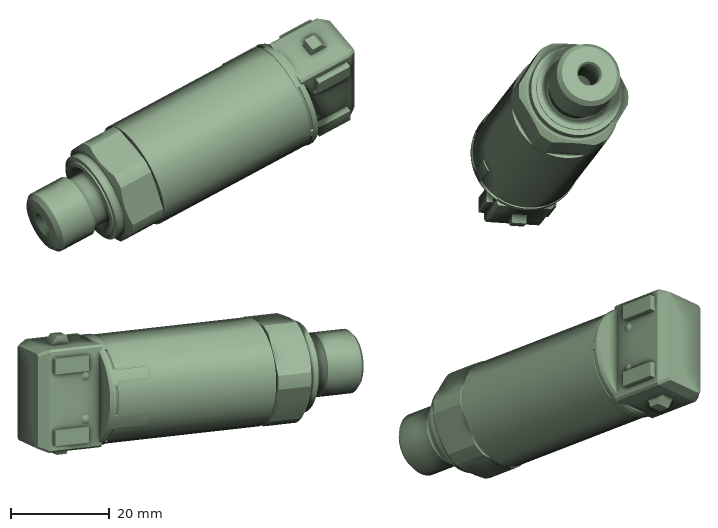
import cadquery as cq
import math


total_length = 73.25
neck_start = 9.8
lip_start = 11.7
flange_start = 12.0
hex_start = 13.85
hex_end = 22.05
body_start = 22.5
ring_start = 58.15
box_start = 59.4
ring_end = 60.1

thread_dia = 13.2
neck_dia = 11.1
recess_dia = 14.4
lip_dia = 16.6
flange_dia = 18.8
groove_dia = 20.0
body_dia = 22.35
ring_dia = 22.8
thread_chamfer = 0.9
recess_floor_dia = 11.9
recess_depth = 1.3
relief_radius = 1.4
ring_chamfer = 0.3

port_mouth_dia = 5.2
port_dia = 4.5
port_mouth_depth = 0.5
port_depth = 8.8

hex_across_flats = 21.0
hex_chamfer_length = 0.8

tongue_end = 51.0
tongue_width = 2.05
tongue_height = 5.05
slot_length = 0.65
slot_floor_dia = 21.9
slot_angles = [(4, 58), (122, 147), (164, 196), (213, 238), (302, 356)]

box_width = 11.8
box_height = 21.45
box_edge_chamfer = 0.45
nose_start = 71.2
nose_width = 9.5
nose_height = 19.7

latch_tip_height = 12.4
latch_width = 3.0
latch_base = (64.7, 68.6)
latch_top = (65.2, 67.4)

pad_start = 62.9
pad_length = 7.6
pad_width = 3.15
pad_height = 7.5
pad_reach = 7.25
dome_y = 63.1
dome_z = 4.55
dome_dia = 1.9
dome_rise = 0.3


def disc(diameter, start, end):
    """Cylinder on the Y axis between two stations."""
    return cq.Workplane("XZ", origin=(0, start, 0)).circle(diameter / 2).extrude(start - end)


def block(width, length, height, x, y_start, z):
    """Block centred in X and Z that starts at y_start."""
    return cq.Workplane("XY").box(width, length, height).translate((x, y_start + length / 2, z))


def turned_body():
    """Threaded stem, sealing flange with a conical recess, groove, housing and ring in one revolve."""
    relief_centre = neck_dia / 2 + relief_radius
    relief_angle = math.acos((relief_centre - thread_dia / 2) / relief_radius)

    def relief_point(angle):
        return (
            relief_centre - relief_radius * math.cos(angle),
            neck_start - relief_radius * math.sin(angle),
        )

    rear_outline = [
        (neck_dia / 2, lip_start + recess_depth),
        (recess_floor_dia / 2, lip_start + recess_depth),
        (recess_dia / 2, lip_start),
        (lip_dia / 2, lip_start),
        (lip_dia / 2, flange_start),
        (flange_dia / 2, flange_start),
        (flange_dia / 2, hex_start),
        (groove_dia / 2, hex_start),
        (groove_dia / 2, body_start),
        (body_dia / 2, body_start),
        (body_dia / 2, ring_start),
        (ring_dia / 2, ring_start),
        (ring_dia / 2, box_start),
        (ring_dia / 2 - ring_chamfer, ring_end),
        (0, ring_end),
    ]
    profile = (
        cq.Workplane("XY")
        .lineTo(thread_dia / 2 - thread_chamfer, 0)
        .lineTo(thread_dia / 2, thread_chamfer)
        .lineTo(*relief_point(relief_angle))
        .threePointArc(relief_point(relief_angle / 2), relief_point(0))
    )
    for point in rear_outline:
        profile = profile.lineTo(*point)
    return profile.close().revolve(360, (0, 0, 0), (0, 1, 0))


def hexagon():
    """Hexagon with flats facing up and down, its corners turned round and its front edge coned."""
    across_corners = hex_across_flats / math.cos(math.pi / 6)
    prism = (
        cq.Workplane("XZ", origin=(0, hex_start, 0))
        .polygon(6, across_corners)
        .extrude(hex_start - hex_end)
    )
    envelope = [
        (0, hex_start),
        (groove_dia / 2, hex_start),
        (ring_dia / 2, hex_start + hex_chamfer_length),
        (ring_dia / 2, hex_end),
        (0, hex_end),
    ]
    turned = cq.Workplane("XY").polyline(envelope).close().revolve(360, (0, 0, 0), (0, 1, 0))
    return prism.intersect(turned)


def port():
    """Blind hole in the thread tip with a countersunk mouth."""
    profile = [
        (0, 0),
        (port_mouth_dia / 2, 0),
        (port_dia / 2, port_mouth_depth),
        (port_dia / 2, port_depth),
        (0, port_depth),
    ]
    return cq.Workplane("XY").polyline(profile).close().revolve(360, (0, 0, 0), (0, 1, 0))


def tongues():
    """Two raised tongues running from the ring along the -X side of the housing."""
    length = ring_start - tongue_end
    sleeve = disc(ring_dia, tongue_end, ring_start).cut(disc(slot_floor_dia, tongue_end, ring_start))
    strips = cq.Workplane("XY")
    for side in (1, -1):
        strip = block(ring_dia / 2, length, tongue_width, -ring_dia / 4, tongue_end, side * tongue_height)
        strips = strips.add(strip)
    return sleeve.intersect(strips.combine())


def ring_slot(first_angle, last_angle):
    """Arc-shaped relief in the thread-side edge of the ring."""
    outer_radius = ring_dia
    span = math.radians(last_angle - first_angle)
    corner_radius = outer_radius / math.cos(span / 2)
    angles = [math.radians(a) for a in (first_angle, (first_angle + last_angle) / 2, last_angle)]
    radii = (outer_radius, corner_radius, outer_radius)
    points = [(0, 0)] + [(r * math.cos(a), r * math.sin(a)) for r, a in zip(radii, angles)]
    wedge = cq.Workplane("XZ", origin=(0, ring_start, 0)).polyline(points).close().extrude(-slot_length)
    return wedge.cut(disc(slot_floor_dia, ring_start, ring_start + slot_length))


def connector_box():
    """Box with bevelled long edges and a tapered nose."""
    length = total_length - box_start
    box = block(box_width, length, box_height, 0, box_start, 0)
    half_x, half_z = box_width / 2, box_height / 2
    plan = [
        (-half_x, box_start),
        (half_x, box_start),
        (half_x, nose_start),
        (nose_width / 2, total_length),
        (-nose_width / 2, total_length),
        (-half_x, nose_start),
    ]
    side = [
        (box_start, -half_z),
        (nose_start, -half_z),
        (total_length, -nose_height / 2),
        (total_length, nose_height / 2),
        (nose_start, half_z),
        (box_start, half_z),
    ]
    box = box.intersect(cq.Workplane("XY").polyline(plan).close().extrude(half_z, both=True))
    box = box.intersect(cq.Workplane("YZ").polyline(side).close().extrude(half_x, both=True))
    return box.edges("not #Y").chamfer(box_edge_chamfer)


def latches():
    """Ramped latch on the top face and its mirror on the bottom face."""
    base_z = box_height / 2
    outline = [
        (latch_base[0], 0),
        (latch_base[0], base_z),
        (latch_top[0], latch_tip_height),
        (latch_top[1], latch_tip_height),
        (latch_base[1], base_z),
        (latch_base[1], 0),
    ]
    latch = cq.Workplane("YZ").polyline(outline).close().extrude(latch_width / 2, both=True)
    return latch.union(latch.mirror("XY"))


def pads():
    """Upper and lower pads reaching through the box to both sides."""
    upper = block(2 * pad_reach, pad_length, pad_width, 0, pad_start, pad_height)
    return upper.union(upper.mirror("XY"))


def domes():
    """Shallow round bumps on both sides of the box."""
    inner_x = box_width / 2 - dome_rise
    outer_x = box_width / 2 + dome_rise
    rim_radius = dome_dia / 2
    sphere_radius = (rim_radius ** 2 + dome_rise ** 2) / (2 * dome_rise)
    mid_rise = sphere_radius - math.sqrt(sphere_radius ** 2 - (rim_radius / 2) ** 2)
    dome = (
        cq.Workplane("XY")
        .moveTo(inner_x, 0)
        .lineTo(outer_x, 0)
        .threePointArc((outer_x - mid_rise, rim_radius / 2), (box_width / 2, rim_radius))
        .lineTo(inner_x, rim_radius)
        .close()
        .revolve(360, (0, 0, 0), (1, 0, 0))
        .translate((0, dome_y, dome_z))
    )
    pair = dome.union(dome.mirror("XY"))
    return pair.union(pair.mirror("YZ"))


result = turned_body().union(hexagon()).cut(port())
for first_angle, last_angle in slot_angles:
    result = result.cut(ring_slot(first_angle, last_angle))
result = result.union(tongues()).union(connector_box())
result = result.union(latches()).union(pads()).union(domes())